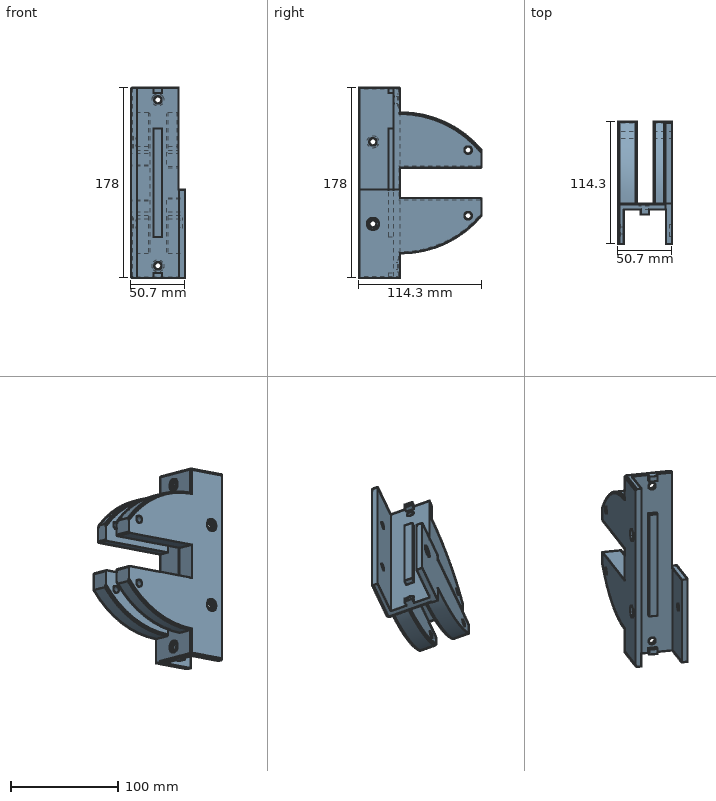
import cadquery as cq
import math

width = 50.7
depth = 114.3
height = 178.0
mid_x = width / 2
mid_z = height / 2

left_thickness = 5.7
right_thickness = 5.7
right_height = 82.6
web_front = 32.2
web_back = 38.1
upper_right_x = 44.7

left_jaw_width = 17.8
right_jaw_start = 33.3
jaw_root_half_height = 65.9
jaw_tip_half_height = 30.3
left_slot_half_height = 15.8
left_slot_root = 37.0
right_slot_half_height = 14.0
edge_chamfer = 1.5
corner_chamfer = 1.0

rib_width = 8.0
rib_depth = 4.8
rib_length = 101.5
end_rib_length = 5.0

hole_diameter = 6.5
counterbore_diameter = 11.2
counterbore_depth = 2.5
mount_hole_y = 12.8
mount_hole_offset = 38.3
jaw_hole_y = 101.7
jaw_hole_offset = 30.6
web_hole_offset = 77.5


def box(x0, x1, y0, y1, z0, z1):
    """Box between opposite corner coordinates."""
    return cq.Workplane("XY").box(x1 - x0, y1 - y0, z1 - z0, centered=False).translate((x0, y0, z0))


def jaw_blank(x0, x1, chamfer_faces):
    """Jaw pair before slotting: arcs tangent to Y at the web, chamfered along the arcs."""
    length = depth - web_back
    drop = jaw_root_half_height - jaw_tip_half_height
    radius = (length**2 + drop**2) / (2 * drop)
    half_angle = math.asin(length / radius) / 2
    arc_y = web_back + radius * math.sin(half_angle)
    arc_half_height = jaw_root_half_height - radius * (1 - math.cos(half_angle))
    blank = (
        cq.Workplane("YZ", origin=(x0, 0, 0))
        .moveTo(web_front, mid_z - jaw_root_half_height)
        .lineTo(web_back, mid_z - jaw_root_half_height)
        .threePointArc((arc_y, mid_z - arc_half_height), (depth, mid_z - jaw_tip_half_height))
        .lineTo(depth, mid_z + jaw_tip_half_height)
        .threePointArc((arc_y, mid_z + arc_half_height), (web_back, mid_z + jaw_root_half_height))
        .lineTo(web_front, mid_z + jaw_root_half_height)
        .close()
        .extrude(x1 - x0)
    )
    for face in chamfer_faces:
        blank = blank.faces(face).edges("%CIRCLE").chamfer(edge_chamfer)
    return blank


def left_wall():
    """Full-height side wall, bevelled around its outer face except at the front."""
    wall = box(0, left_thickness, 0, web_back, 0, height)
    wall = wall.faces(">Y").edges("|X").chamfer(corner_chamfer)
    return wall.faces("<X").edges("not(<Y)").chamfer(edge_chamfer)


def cut_slot(body, x0, x1, root, half_height):
    """Cut the slot between the jaws and bevel its mouth at the jaw tips."""
    body = body.cut(box(x0, x1, root, depth, mid_z - half_height, mid_z + half_height))
    mouth = cq.selectors.BoxSelector(
        (x0, depth - corner_chamfer, mid_z - half_height - corner_chamfer),
        (x1, depth + corner_chamfer, mid_z + half_height + corner_chamfer),
    )
    return body.edges(mouth).chamfer(corner_chamfer)


def right_jaws():
    """Upper jaw ends at the web edge; the lower jaw reaches the outside of the right wall."""
    upper = jaw_blank(right_jaw_start, upper_right_x, ["<X", ">X"])
    upper = upper.intersect(box(0, width, 0, depth, mid_z, height))
    lower = jaw_blank(right_jaw_start, width, ["<X"])
    lower = lower.intersect(box(0, width, 0, depth, 0, right_height))
    return cut_slot(upper.union(lower), right_jaw_start, width, web_back, right_slot_half_height)


def web():
    """Cross wall with a bevel on its top and bottom back edges, carrying three guide ribs."""
    plate = box(left_thickness / 2, upper_right_x, web_front, web_back, 0, height)
    plate = plate.faces(">Y").edges("|X").chamfer(corner_chamfer)
    rib_spans = [
        (0, end_rib_length),
        (mid_z - rib_length / 2, mid_z + rib_length / 2),
        (height - end_rib_length, height),
    ]
    for bottom, top in rib_spans:
        plate = plate.union(box(
            mid_x - rib_width / 2, mid_x + rib_width / 2,
            web_front - rib_depth, web_front, bottom, top,
        ))
    return plate


def cross_hole(y, z, diameter, length, start_x=0):
    """Cylinder along X, starting at the outer left face unless placed elsewhere."""
    return cq.Workplane("YZ", origin=(start_x, 0, 0)).center(y, z).circle(diameter / 2).extrude(length)


left_jaws = jaw_blank(0, left_jaw_width, ["<X", ">X"])
result = left_wall().union(web()).union(left_jaws)
result = cut_slot(result, 0, left_jaw_width, left_slot_root, left_slot_half_height)
result = result.union(right_jaws())
result = result.union(box(width - right_thickness, width, 0, web_front, 0, right_height))
result = result.union(box(upper_right_x, width, web_front, web_back, 0, right_height))

for side in (-1, 1):
    mount_z = mid_z + side * mount_hole_offset
    result = result.cut(cross_hole(mount_hole_y, mount_z, hole_diameter, width))
    result = result.cut(cross_hole(mount_hole_y, mount_z, counterbore_diameter, counterbore_depth))
    if mount_z < right_height:
        result = result.cut(cross_hole(
            mount_hole_y, mount_z, counterbore_diameter, counterbore_depth, width - counterbore_depth,
        ))
    result = result.cut(cross_hole(jaw_hole_y, mid_z + side * jaw_hole_offset, hole_diameter, width))
    web_hole = (
        cq.Workplane("XZ", origin=(0, web_back, 0))
        .center(mid_x, mid_z + side * web_hole_offset)
    )
    result = result.cut(web_hole.circle(hole_diameter / 2).extrude(web_back))
    result = result.cut(web_hole.circle(counterbore_diameter / 2).extrude(counterbore_depth))